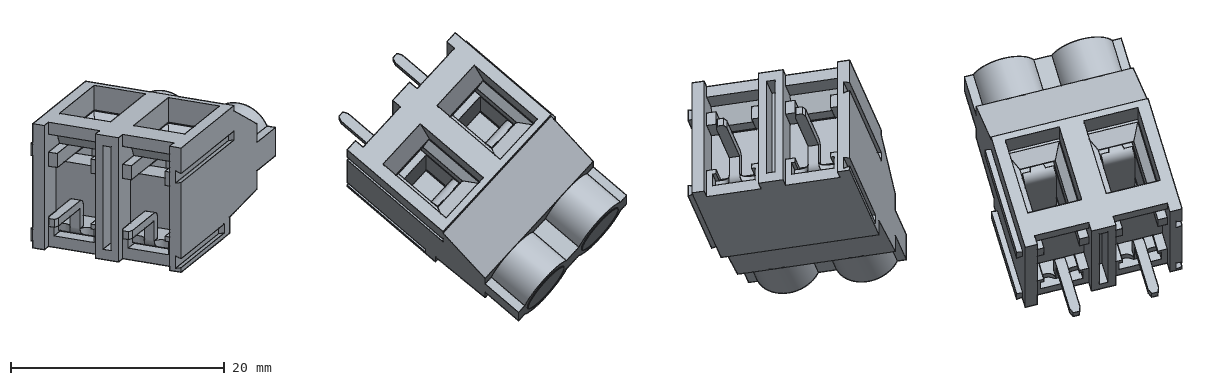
import cadquery as cq
import math


OVERALL_LENGTH = 25.7
WIDTH = 15.25
PITCH = WIDTH / 2
POLE_CENTRES = [-PITCH / 2, PITCH / 2]
HEIGHT = 12.5
TOP_LENGTH = 12.0
TOP_STEP_Z = 11.95
BOTTOM_LENGTH = 11.05
BOTTOM_STEP_Z = 1.62
SHOULDER_Y = 17.27
BACK_Y = 21.45

SCREW_Z = 5.5
BARREL_DIAMETER = 6.53
BARREL_BOTTOM_Z = SCREW_Z - BARREL_DIAMETER / 2
BARREL_TOP_Z = SCREW_Z + BARREL_DIAMETER / 2
BRIDGE_HEIGHT = 2.85
HEAD_DIAMETER = 5.2
SHANK_DIAMETER = 3.2
HEAD_PROUD = 0.08
HEAD_CHAMFER = 0.065

RAIL_DEPTH = 0.6
RAIL_OUTER_HEIGHT = 1.23
RAIL_ROOT_HEIGHT = 0.9
RAIL_FRONT_Y = 0.87
RAILS = [(9.48, TOP_LENGTH), (0.93, 9.8)]

CAGE_WIDTH = 5.25
CAGE_BOTTOM_Z = 2.95
CAGE_TOP_Z = 8.07
CAGE_FRONT_Y = 2.7
CAGE_WALL = 2.35
CAGE_WINDOW_WIDTH = 3.35
CAGE_WINDOW_FRONT_Y = CAGE_FRONT_Y + CAGE_WALL
CAGE_WINDOW_BACK_Y = 9.2
CAGE_BACK_Y = CAGE_WINDOW_BACK_Y + CAGE_WALL

RECESS_DEPTH = 0.95
LIP_BOTTOM_Z = 11.28
SHELF_Z = 9.48
CEILING_START_Y = 2.6
CEILING_END_Y = 3.45
SLOT_WIDTH = 3.45
SLOT_BACK_Y = 9.48
TAB_SPACE_TOP_Z = 9.4
RIB_SLOT_WIDTH = 0.82
RIB_SLOT_BOTTOM_Z = 1.03
RIB_SLOT_TOP_Z = 11.44
RIB_SLOT_DEPTH = 2.05

ENTRY_FRONT_Y = 3.45
ENTRY_BACK_Y = 11.33
ENTRY_FLOOR_Y = 4.57
FUNNEL_TOP_Z = 10.02
FUNNEL_SIDE_LEDGE = 0.08
FUNNEL_BACK_LEDGE = 0.25

STRIP = 0.8
BEND_OUTER_RADIUS = 0.9
TAIL_WIDTH = 1.0
TAIL_TIP_WIDTH = 0.6
TAIL_TIP_LENGTH = 0.5
TAIL_END_Y = BACK_Y + HEAD_PROUD - OVERALL_LENGTH
TAIL_TOP_Z = 5.0
LEG_FRONT_Y = 1.18
BASE_FRONT_Y = 1.82
BASE_BOTTOM_Z = 1.41
BASE_WIDTH = 4.0
BASE_FILLET = 0.8
BAR_WIDTH = 3.05
BAR_FRONT_Y = CAGE_WINDOW_BACK_Y - STRIP
BAR_TOP_Z = CAGE_TOP_Z + STRIP
TAB_END_Y = 10.02
TAB_ROOT_WIDTH = 1.46
TAB_END_WIDTH = 1.15

CHANNEL_WIDTH = 4.1
CHANNEL_TOP_Z = 2.47
CHANNEL_MOUTH_Z = 1.15
RAMP_START_Y = 2.31
RAMP_END_Y = 2.47

ARC_MID_INSET = 1 - math.sqrt(0.5)


def block(x_centre, width, y_front, y_back, z_bottom, z_top):
    """Box centred on x_centre."""
    return cq.Workplane("XY").box(width, y_back - y_front, z_top - z_bottom).translate(
        (x_centre, (y_front + y_back) / 2, (z_bottom + z_top) / 2)
    )


def side_prism(x_centre, width, points):
    """Closed (Y, Z) outline extruded across X."""
    return cq.Workplane("YZ", origin=(x_centre, 0, 0)).polyline(points).close().extrude(width / 2, both=True)


def screw_cylinder(x_centre, diameter, y_front, y_back):
    """Cylinder on the screw axis."""
    return (
        cq.Workplane("XZ", origin=(x_centre, y_front, SCREW_Z))
        .circle(diameter / 2)
        .extrude(-(y_back - y_front))
    )


def dovetail(x_root, z_centre, y_front, y_back):
    """Dovetail bar that widens towards -X from its root."""
    root = RAIL_ROOT_HEIGHT / 2
    outer = RAIL_OUTER_HEIGHT / 2
    points = [(0, -root), (0, root), (-RAIL_DEPTH, outer), (-RAIL_DEPTH, -outer)]
    return (
        cq.Workplane("XZ", origin=(x_root, y_front, z_centre))
        .polyline(points)
        .close()
        .extrude(-(y_back - y_front))
    )


def housing_shell():
    """Outer shape of the housing with its barrels and rails, before the pockets are cut."""
    shell = side_prism(0, WIDTH, [
        (0, 0),
        (BOTTOM_LENGTH, 0),
        (BOTTOM_LENGTH, BOTTOM_STEP_Z),
        (SHOULDER_Y, BARREL_BOTTOM_Z),
        (SHOULDER_Y, BARREL_TOP_Z),
        (TOP_LENGTH, TOP_STEP_Z),
        (TOP_LENGTH, HEIGHT),
        (0, HEIGHT),
    ])
    bridge_bottom_z = SCREW_Z - BRIDGE_HEIGHT / 2
    shell = shell.union(block(0, WIDTH, SHOULDER_Y, BACK_Y, bridge_bottom_z, bridge_bottom_z + BRIDGE_HEIGHT))
    for x in POLE_CENTRES:
        shell = shell.union(screw_cylinder(x, BARREL_DIAMETER, SHOULDER_Y, BACK_Y))
    for z_centre, rear_y in RAILS:
        shell = shell.union(dovetail(-WIDTH / 2, z_centre, RAIL_FRONT_Y, rear_y))
        shell = shell.cut(dovetail(WIDTH / 2, z_centre, 0, rear_y))
    rib_slot = block(0, RIB_SLOT_WIDTH, 0, RIB_SLOT_DEPTH, RIB_SLOT_BOTTOM_Z, RIB_SLOT_TOP_Z)
    return shell.cut(rib_slot)


def wire_entry(x):
    """Opening in the top: straight walls, then a three-sided funnel down to the slot."""
    well = side_prism(x, CAGE_WIDTH, [
        (ENTRY_FRONT_Y, HEIGHT),
        (ENTRY_FLOOR_Y, FUNNEL_TOP_Z),
        (ENTRY_BACK_Y, FUNNEL_TOP_Z),
        (ENTRY_BACK_Y, HEIGHT),
    ])
    top_width = CAGE_WIDTH - 2 * FUNNEL_SIDE_LEDGE
    top_back_y = ENTRY_BACK_Y - FUNNEL_BACK_LEDGE
    funnel = (
        cq.Workplane("XY", origin=(x, 0, SHELF_Z))
        .center(0, (ENTRY_FLOOR_Y + SLOT_BACK_Y) / 2)
        .rect(SLOT_WIDTH, SLOT_BACK_Y - ENTRY_FLOOR_Y)
        .workplane(offset=FUNNEL_TOP_Z - SHELF_Z)
        .center(0, (top_back_y - SLOT_BACK_Y) / 2)
        .rect(top_width, top_back_y - ENTRY_FLOOR_Y)
        .loft(ruled=True)
    )
    return well.union(funnel)


def front_pocket(x):
    """Recess, sloping ceiling, wire slot and cage pocket, all open to the front."""
    recess = block(x, CAGE_WIDTH, 0, RECESS_DEPTH, 0, HEIGHT)
    ceiling = side_prism(x, CAGE_WIDTH, [
        (RECESS_DEPTH, SHELF_Z),
        (CEILING_END_Y, SHELF_Z),
        (CEILING_START_Y, LIP_BOTTOM_Z),
        (RECESS_DEPTH, LIP_BOTTOM_Z),
    ])
    slot = block(x, SLOT_WIDTH, RECESS_DEPTH, SLOT_BACK_Y, CHANNEL_TOP_Z, SHELF_Z)
    cage_pocket = block(x, CAGE_WIDTH, RECESS_DEPTH, CAGE_BACK_Y, CAGE_BOTTOM_Z, CAGE_TOP_Z)
    tab_space = block(x, SLOT_WIDTH, SLOT_BACK_Y, CAGE_BACK_Y, CAGE_TOP_Z, TAB_SPACE_TOP_Z)
    return recess.union(ceiling).union(slot).union(cage_pocket).union(tab_space)


def base_channel(x):
    """Channel for the base plate, with a short ramp from its mouth up to the plate."""
    return side_prism(x, CHANNEL_WIDTH, [
        (RECESS_DEPTH, CHANNEL_MOUTH_Z),
        (RAMP_START_Y, CHANNEL_MOUTH_Z),
        (RAMP_END_Y, BASE_BOTTOM_Z),
        (SLOT_BACK_Y, BASE_BOTTOM_Z),
        (SLOT_BACK_Y, CHANNEL_TOP_Z),
        (RECESS_DEPTH, CHANNEL_TOP_Z),
    ])


def make_screw(x):
    """Screw with its shank ending at the contact bar and its head filling the barrel."""
    shank = screw_cylinder(x, SHANK_DIAMETER, CAGE_WINDOW_BACK_Y, SHOULDER_Y)
    head = screw_cylinder(x, HEAD_DIAMETER, SHOULDER_Y, BACK_Y + HEAD_PROUD)
    return shank.union(head.faces(">Y").chamfer(HEAD_CHAMFER))


def make_cage(x):
    """Clamp cage: a block with a wire window along Z and a screw hole in its back wall."""
    cage = block(x, CAGE_WIDTH, CAGE_FRONT_Y, CAGE_BACK_Y, CAGE_BOTTOM_Z, CAGE_TOP_Z)
    cage = cage.cut(
        block(x, CAGE_WINDOW_WIDTH, CAGE_WINDOW_FRONT_Y, CAGE_WINDOW_BACK_Y, CAGE_BOTTOM_Z, CAGE_TOP_Z)
    )
    return cage.cut(make_screw(x))


def bent_strip(x):
    """Side profile of the tail, leg and base plate, as wide as the base plate."""
    leg_back_y = LEG_FRONT_Y + STRIP
    base_top_z = BASE_BOTTOM_Z + STRIP
    tail_bottom_z = TAIL_TOP_Z - STRIP
    bend_mid = STRIP * ARC_MID_INSET
    return (
        cq.Workplane("YZ", origin=(x, 0, 0))
        .moveTo(TAIL_END_Y, tail_bottom_z)
        .lineTo(TAIL_END_Y, TAIL_TOP_Z)
        .lineTo(LEG_FRONT_Y, TAIL_TOP_Z)
        .threePointArc((leg_back_y - bend_mid, TAIL_TOP_Z - bend_mid), (leg_back_y, tail_bottom_z))
        .lineTo(leg_back_y, base_top_z)
        .lineTo(CAGE_WINDOW_BACK_Y, base_top_z)
        .lineTo(CAGE_WINDOW_BACK_Y, BASE_BOTTOM_Z)
        .lineTo(leg_back_y, BASE_BOTTOM_Z)
        .threePointArc((LEG_FRONT_Y + bend_mid, BASE_BOTTOM_Z + bend_mid), (LEG_FRONT_Y, base_top_z))
        .lineTo(LEG_FRONT_Y, tail_bottom_z)
        .close()
        .extrude(BASE_WIDTH / 2, both=True)
    )


def tail_plan(x):
    """Plan outline of the tail and leg, with the tapered tip."""
    tip = TAIL_TIP_WIDTH / 2
    side = TAIL_WIDTH / 2
    leg_back_y = LEG_FRONT_Y + STRIP
    taper_y = TAIL_END_Y + TAIL_TIP_LENGTH
    base_top_z = BASE_BOTTOM_Z + STRIP
    return (
        cq.Workplane("XY", origin=(x, 0, base_top_z))
        .polyline([
            (-tip, TAIL_END_Y),
            (tip, TAIL_END_Y),
            (side, taper_y),
            (side, leg_back_y),
            (-side, leg_back_y),
            (-side, taper_y),
        ])
        .close()
        .extrude(TAIL_TOP_Z - base_top_z)
    )


def base_plan(x):
    """Plan outline of the base plate, which narrows to the leg through two concave fillets."""
    side = TAIL_WIDTH / 2
    edge = BASE_WIDTH / 2
    root = side + BASE_FILLET
    neck_y = BASE_FRONT_Y - BASE_FILLET
    arc_mid = BASE_FILLET * ARC_MID_INSET
    return (
        cq.Workplane("XY", origin=(x, 0, BASE_BOTTOM_Z))
        .moveTo(-side, neck_y)
        .lineTo(side, neck_y)
        .threePointArc((side + arc_mid, BASE_FRONT_Y - arc_mid), (root, BASE_FRONT_Y))
        .lineTo(edge, BASE_FRONT_Y)
        .lineTo(edge, CAGE_WINDOW_BACK_Y)
        .lineTo(-edge, CAGE_WINDOW_BACK_Y)
        .lineTo(-edge, BASE_FRONT_Y)
        .lineTo(-root, BASE_FRONT_Y)
        .threePointArc((-side - arc_mid, BASE_FRONT_Y - arc_mid), (-side, neck_y))
        .close()
        .extrude(STRIP)
    )


def tab(x):
    """Tapered tab that hooks over the back wall of the cage."""
    root = TAB_ROOT_WIDTH / 2
    end = TAB_END_WIDTH / 2
    bend_end_y = BAR_FRONT_Y + BEND_OUTER_RADIUS
    return (
        cq.Workplane("XY", origin=(x, 0, CAGE_TOP_Z))
        .polyline([(-root, bend_end_y), (root, bend_end_y), (end, TAB_END_Y), (-end, TAB_END_Y)])
        .close()
        .extrude(STRIP)
    )


def contact_bar(x):
    """Upright bar inside the cage, bent back at its top over the cage wall."""
    bend_end_y = BAR_FRONT_Y + BEND_OUTER_RADIUS
    bend_mid = BEND_OUTER_RADIUS * ARC_MID_INSET
    bar = (
        cq.Workplane("YZ", origin=(x, 0, 0))
        .moveTo(BAR_FRONT_Y, BASE_BOTTOM_Z + STRIP)
        .lineTo(BAR_FRONT_Y, BAR_TOP_Z - BEND_OUTER_RADIUS)
        .threePointArc((BAR_FRONT_Y + bend_mid, BAR_TOP_Z - bend_mid), (bend_end_y, BAR_TOP_Z))
        .lineTo(bend_end_y, CAGE_TOP_Z)
        .lineTo(CAGE_WINDOW_BACK_Y, CAGE_TOP_Z)
        .lineTo(CAGE_WINDOW_BACK_Y, BASE_BOTTOM_Z + STRIP)
        .close()
        .extrude(BAR_WIDTH / 2, both=True)
    )
    return bar.union(tab(x))


def make_pin(x):
    """Pin strip: the bent strip trimmed to its plan outlines, with the contact bar at its end."""
    plan = tail_plan(x).union(base_plan(x))
    return bent_strip(x).intersect(plan).union(contact_bar(x))


def make_housing():
    """Housing with the openings for both poles."""
    housing = housing_shell()
    for x in POLE_CENTRES:
        housing = housing.cut(wire_entry(x)).cut(front_pocket(x)).cut(base_channel(x))
        housing = housing.cut(make_screw(x))
    return housing


housing = make_housing()
cages = [make_cage(x) for x in POLE_CENTRES]
screws = [make_screw(x) for x in POLE_CENTRES]
pins = [make_pin(x) for x in POLE_CENTRES]

result = cq.Compound.makeCompound([body.val() for body in [housing, *cages, *screws, *pins]])